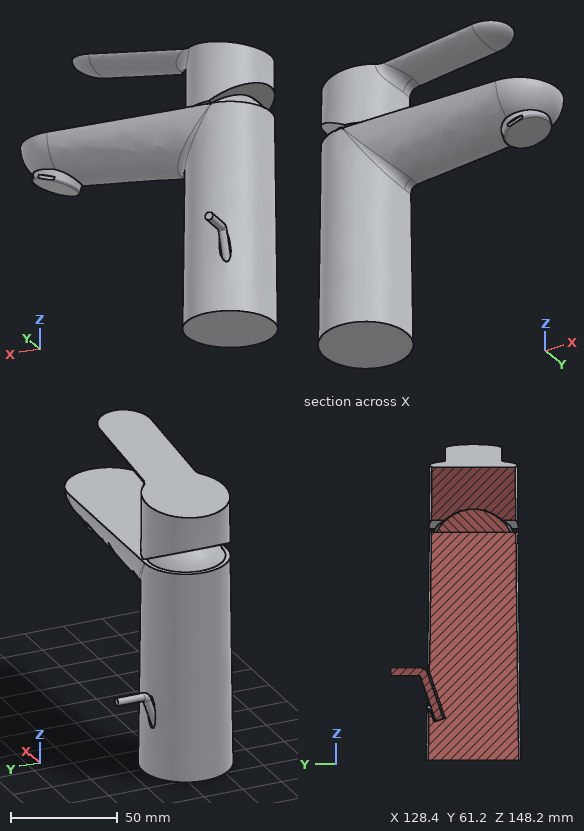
import cadquery as cq
import math

base_radius = 22.4
rim_radius = 21.0
deck_height = 107.0
spout_tip_x = 106.0
spout_nose_x = spout_tip_x - rim_radius
spout_root_depth = 27.9
spout_nose_depth = 18.2
spout_root_fillet = 4.5

aerator_diameter = 23.5
aerator_height = 7.4
aerator_tilt = 17.7
aerator_bottom_x = 89.8
aerator_bottom_z = 87.6
aerator_edge_fillet = 0.7
aerator_flat_length = 8.6
aerator_flat_height = 1.8

cap_radius = 20.6
cap_center_z = 98.4

hub_bottom_radius = 21.0
hub_top_radius = 20.7
hub_bottom_z = 108.3
hub_back_z = 119.6
hub_relief_x = 1.5
total_height = 148.2
lever_tip_x = 80.0
lever_half_width = 13.3
lever_depth = 5.5
handle_slope = 7.0
lever_root_fillet = 6.0

rod_diameter = 4.0
rod_hole_diameter = 5.3
rod_x = -6.7
rod_z = 41.5
rod_end_y = 38.8
rod_bend_y = 25.2
rod_bend_radius = 2.1
rod_lean = 19.0
rod_leg_length = 22.2


def half_ellipse(x, half_width, depth):
    """Closed section across X: flat on top at Z = 0 and elliptical below."""
    return (
        cq.Workplane("YZ", origin=(x, 0, 0))
        .moveTo(-half_width, 0)
        .ellipseArc(half_width, depth, 180, 360)
        .close()
    )


def boat_arm(nose_x, half_width, root_depth, nose_depth):
    """Flat-topped arm from X = 0 with an elliptical belly and a rounded nose."""
    root = half_ellipse(0, half_width, root_depth).val()
    end = half_ellipse(nose_x, half_width, nose_depth).val()
    beam = cq.Workplane(cq.Solid.makeLoft([root, end], True))
    nose = (
        cq.Workplane("XZ")
        .moveTo(0, -nose_depth)
        .ellipseArc(half_width, nose_depth, 270, 360)
        .lineTo(0, 0)
        .close()
        .revolve(180, (0, 0, 0), (0, 1, 0))
    )
    nose = nose.rotate((0, 0, 0), (0, 0, 1), -90).translate((nose_x, 0, 0))
    return beam.union(nose)


def fillet_root(body, half_width, low_z, high_z, radius):
    """Round the seam where an arm leaves an upright round body on its +X side."""
    seam_box = cq.selectors.BoxSelector(
        (rim_radius / 2, -half_width, low_z), (base_radius, half_width, high_z)
    )
    return body.edges(seam_box).fillet(radius)


def make_aerator_blank():
    """Plain disc, also the shape of its seat in the spout."""
    return cq.Workplane("XY").circle(aerator_diameter / 2).extrude(aerator_height)


def place_aerator(shape):
    tilted = shape.rotate((0, 0, 0), (0, 1, 0), -aerator_tilt)
    return tilted.translate((aerator_bottom_x, 0, aerator_bottom_z))


def make_aerator():
    aerator = make_aerator_blank().faces("<Z").edges().fillet(aerator_edge_fillet)
    radius = aerator_diameter / 2
    flat_y = math.sqrt(radius**2 - (aerator_flat_length / 2) ** 2)
    for side in (-1, 1):
        cutter = cq.Workplane("XY").box(
            aerator_diameter, radius, aerator_flat_height, centered=(True, True, False)
        )
        aerator = aerator.cut(cutter.translate((0, side * (flat_y + radius / 2), 0)))
    return place_aerator(aerator)


def rod_leg_frame():
    """Start point and direction of the leaning leg of the rod."""
    lean = math.radians(rod_lean)
    start = cq.Vector(
        rod_x,
        rod_bend_y - rod_bend_radius * math.cos(lean),
        rod_z - rod_bend_radius + rod_bend_radius * math.sin(lean),
    )
    return start, cq.Vector(0, -math.sin(lean), -math.cos(lean))


def make_rod():
    start, direction = rod_leg_frame()
    radius = rod_diameter / 2
    arm = cq.Solid.makeCylinder(
        radius, rod_end_y - rod_bend_y, cq.Vector(rod_x, rod_bend_y, rod_z), cq.Vector(0, 1, 0)
    )
    leg = cq.Solid.makeCylinder(radius, rod_leg_length, start, direction)
    elbow = (
        cq.Workplane("XZ", origin=(rod_x, rod_bend_y, rod_z))
        .circle(radius)
        .revolve(90 - rod_lean, (0, -rod_bend_radius, 0), (1, -rod_bend_radius, 0))
    )
    return elbow.union(cq.Workplane(arm)).union(cq.Workplane(leg))


def make_rod_hole():
    start, direction = rod_leg_frame()
    return cq.Workplane(cq.Solid.makeCylinder(rod_hole_diameter / 2, rod_leg_length, start, direction))


def make_faucet_body():
    column = cq.Workplane(cq.Solid.makeCone(base_radius, rim_radius, deck_height))
    spout = boat_arm(spout_nose_x, rim_radius, spout_root_depth, spout_nose_depth)
    body = column.union(spout.translate((0, 0, deck_height)))
    body = fillet_root(body, rim_radius, deck_height - spout_root_depth, deck_height, spout_root_fillet)
    return body.cut(place_aerator(make_aerator_blank())).cut(make_rod_hole())


def make_ball():
    return cq.Workplane("XY").sphere(cap_radius).translate((0, 0, cap_center_z))


def make_cap():
    above_deck = cq.Workplane("XY").circle(cap_radius).extrude(cap_radius)
    return make_ball().intersect(above_deck.translate((0, 0, deck_height)))


def make_handle():
    slope = math.tan(math.radians(handle_slope))
    top_center_z = total_height - lever_tip_x * slope
    front_x = base_radius
    back_x = -front_x
    relief_slope = (hub_back_z - hub_bottom_z) / (hub_relief_x + hub_bottom_radius)
    back_z = hub_bottom_z + relief_slope * (hub_relief_x - back_x)
    hub_cone = cq.Workplane(
        cq.Solid.makeCone(
            hub_bottom_radius, hub_top_radius, total_height - hub_bottom_z, cq.Vector(0, 0, hub_bottom_z)
        )
    )
    side_profile = (
        cq.Workplane("XZ")
        .moveTo(hub_relief_x, hub_bottom_z)
        .lineTo(front_x, hub_bottom_z)
        .lineTo(front_x, top_center_z + front_x * slope)
        .lineTo(back_x, top_center_z + back_x * slope)
        .lineTo(back_x, back_z)
        .close()
        .extrude(front_x, both=True)
    )
    hub = hub_cone.intersect(side_profile)
    nose_x = lever_tip_x / math.cos(math.radians(handle_slope)) - lever_half_width
    lever = boat_arm(nose_x, lever_half_width, lever_depth, lever_depth)
    lever = lever.rotate((0, 0, 0), (0, 1, 0), -handle_slope).translate((0, 0, top_center_z))
    handle = hub.union(lever)
    handle = fillet_root(handle, lever_half_width, hub_back_z, top_center_z, lever_root_fillet)
    return handle.cut(make_ball())


faucet_body = make_faucet_body()
cap = make_cap()
handle = make_handle()
aerator = make_aerator()
rod = make_rod()
result = cq.Compound.makeCompound(
    [body.solids().val() for body in (faucet_body, cap, handle, aerator, rod)]
)